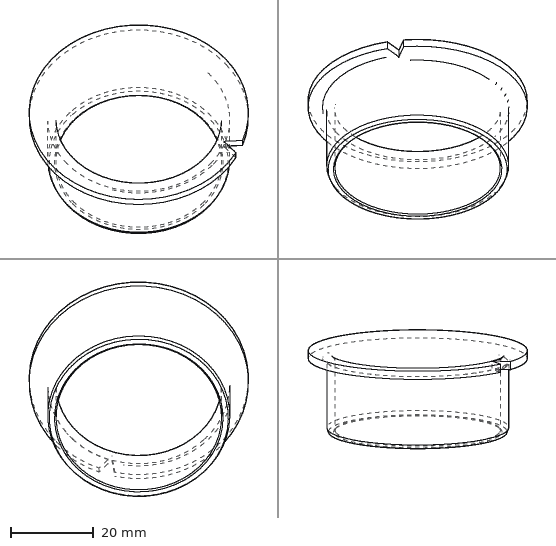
import cadquery as cq

flange_radius = 26.5
total_height = 20.0
wall = 2.0
bore_radius = 19.95
outer_bend_radius = 1.0
chamfer_height = 1.0
chamfer_depth = 0.35
bore_chamfer = 0.35

notch_tip_x = 22.35
notch_half_width = 2.0
notch_overrun = 1.05

body_radius = bore_radius + wall
flange_underside = total_height - wall
inner_bend_radius = outer_bend_radius + wall
diagonal = 0.5 ** 0.5

bend_center_r = body_radius + outer_bend_radius
bend_center_z = flange_underside - outer_bend_radius


def bend_middle(radius):
    """Point halfway along a bend arc of the given radius."""
    return bend_center_r - radius * diagonal, bend_center_z + radius * diagonal


def make_bushing():
    """Revolve the wall section, drawn as radius and height."""
    return (
        cq.Workplane("XZ")
        .moveTo(bore_radius, bore_chamfer)
        .lineTo(bore_radius + bore_chamfer, 0)
        .lineTo(body_radius - chamfer_depth, 0)
        .lineTo(body_radius, chamfer_height)
        .lineTo(body_radius, bend_center_z)
        .threePointArc(bend_middle(outer_bend_radius), (bend_center_r, flange_underside))
        .lineTo(flange_radius, flange_underside)
        .lineTo(flange_radius, total_height)
        .lineTo(bend_center_r, total_height)
        .threePointArc(bend_middle(inner_bend_radius), (bore_radius, bend_center_z))
        .close()
        .revolve(360, (0, 0, 0), (0, 1, 0))
    )


def make_notch_cutter():
    """Triangular prism that opens the flange outward from the notch tip."""
    rim_x = (flange_radius ** 2 - notch_half_width ** 2) ** 0.5
    slope = notch_half_width / (rim_x - notch_tip_x)
    end_x = flange_radius + notch_overrun
    end_half_width = slope * (end_x - notch_tip_x)
    return (
        cq.Workplane("XY")
        .moveTo(notch_tip_x, 0)
        .lineTo(end_x, end_half_width)
        .lineTo(end_x, -end_half_width)
        .close()
        .extrude(total_height)
    )


result = make_bushing().cut(make_notch_cutter())